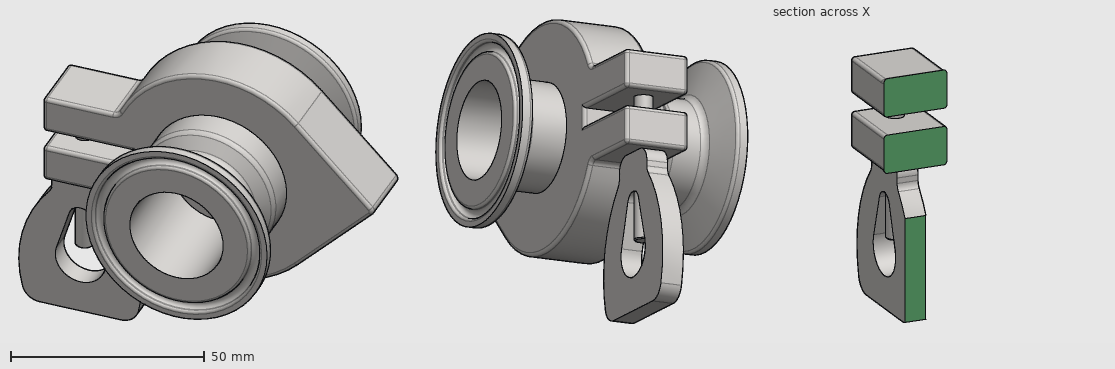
import cadquery as cq
import math

CLAMP_RADIUS = 30.9
CLAMP_THICKNESS = 18.0
TIP_ROUND = 1.5
EDGE_ROUND = 1.0

EAR_END_X = -49.0
EAR_HALF_HEIGHT = 12.6
EAR_NECK_ROUND = 2.0
SLOT_WIDTH = 4.9
SLOT_END_X = -24.4

FRONT_LENGTH = 38.0
BACK_LENGTH = 27.0
TUBE_RADIUS = 29.0 / 2
BORE_RADIUS = 26.0 / 2
FLANGE_RADIUS = 50.5 / 2
FLANGE_RIM_WIDTH = 2.9
FLANGE_SLOPE = 20.0
FLANGE_RIM_ROUND = 1.0
FLANGE_NECK_ROUND = 2.0

GROOVE_CENTRE_RADIUS = 21.8
GROOVE_RADIUS = 1.2
GROOVE_WALL_HEIGHT = 0.3
GROOVE_LIP_ROUND = 0.76

HOUSING_RADIUS = 38.0 / 2
HOUSING_SHOULDER_Y = -17.3
HOUSING_TAPER_ANGLE = 50.0
HOUSING_ROUND = 2.0

PIN_X = -41.0
PIN_DIAMETER = 5.0
PIN_BOTTOM_Z = -35.9
PIN_CHAMFER = 0.3

LEVER_THICKNESS = 6.0
LEVER_BOTTOM_Z = -55.0
LEVER_HALF_WIDTH = 17.2
LEVER_WIDEST_Z = -42.7
LEVER_SIDE_RADIUS = 34.4
LEVER_NECK_HALF_WIDTH = 8.0
LEVER_TOP_ROUND = 4.0
LEVER_BOTTOM_ROUND = 5.0
LEVER_NECK_ROUND = 3.0

OPENING_LOWER_RADIUS = 7.0
OPENING_LOWER_Z = -39.0
OPENING_UPPER_RADIUS = 3.2
OPENING_UPPER_Z = -26.3


def extrude_along_y(outline, thickness):
    """Extrude an XZ outline symmetrically about the plane y = 0."""
    return outline.extrude(thickness / 2, both=True)


def round_circles(body, y, radius, fillet):
    """Fillet the circular edge of the given radius, centred on the Y axis at y."""
    tolerance = 0.001
    edges = [
        edge
        for edge in body.edges("%CIRCLE").vals()
        if abs(edge.arcCenter().y - y) < tolerance and abs(edge.radius() - radius) < tolerance
    ]
    return body.newObject(edges).fillet(fillet)


def round_y_edges(body, points, fillet):
    """Fillet the Y-parallel edges that pass through the given (x, z) points."""
    for x, z in points:
        body = body.edges("|Y").edges(cq.selectors.NearestToPointSelector((x, 0, z))).fillet(fillet)
    return body


def make_clamp():
    tangent = CLAMP_RADIUS / math.sqrt(2)
    tip_x = CLAMP_RADIUS * math.sqrt(2)
    ear_root_x = -math.sqrt(CLAMP_RADIUS**2 - EAR_HALF_HEIGHT**2)
    slot_half = SLOT_WIDTH / 2

    outline = (
        cq.Workplane("XZ")
        .moveTo(tip_x, 0)
        .lineTo(tangent, tangent)
        .threePointArc((0, CLAMP_RADIUS), (ear_root_x, EAR_HALF_HEIGHT))
        .lineTo(EAR_END_X, EAR_HALF_HEIGHT)
        .lineTo(EAR_END_X, slot_half)
        .lineTo(SLOT_END_X, slot_half)
        .lineTo(SLOT_END_X, -slot_half)
        .lineTo(EAR_END_X, -slot_half)
        .lineTo(EAR_END_X, -EAR_HALF_HEIGHT)
        .lineTo(ear_root_x, -EAR_HALF_HEIGHT)
        .threePointArc((0, -CLAMP_RADIUS), (tangent, -tangent))
        .close()
    )
    clamp = extrude_along_y(outline, CLAMP_THICKNESS)

    ear_corners = [(EAR_END_X, z * side) for z in (slot_half, EAR_HALF_HEIGHT) for side in (1, -1)]
    ear_necks = [(ear_root_x, EAR_HALF_HEIGHT), (ear_root_x, -EAR_HALF_HEIGHT)]
    clamp = round_y_edges(clamp, [(tip_x, 0)], TIP_ROUND)
    clamp = round_y_edges(clamp, ear_necks, EAR_NECK_ROUND)
    clamp = round_y_edges(clamp, ear_corners, EDGE_ROUND)

    return clamp.faces("<Y or >Y").edges().fillet(EDGE_ROUND)


def make_groove(face_y):
    """Ring groove with a half-round floor, short straight walls and rounded lips."""
    wall_top_y = face_y + GROOVE_LIP_ROUND
    wall_bottom_y = wall_top_y + GROOVE_WALL_HEIGHT
    inner_wall = GROOVE_CENTRE_RADIUS - GROOVE_RADIUS
    outer_wall = GROOVE_CENTRE_RADIUS + GROOVE_RADIUS
    return (
        cq.Workplane("XY")
        .moveTo(inner_wall - GROOVE_LIP_ROUND, face_y)
        .radiusArc((inner_wall, wall_top_y), -GROOVE_LIP_ROUND)
        .lineTo(inner_wall, wall_bottom_y)
        .threePointArc((GROOVE_CENTRE_RADIUS, wall_bottom_y + GROOVE_RADIUS), (outer_wall, wall_bottom_y))
        .lineTo(outer_wall, wall_top_y)
        .radiusArc((outer_wall + GROOVE_LIP_ROUND, face_y), -GROOVE_LIP_ROUND)
        .close()
        .revolve(360, (0, 0, 0), (0, 1, 0))
    )


def make_ferrule(length):
    """Flanged tube from the clamp centre out to -Y, with a bore that stops at the clamp."""
    face_y = -length
    rim_y = face_y + FLANGE_RIM_WIDTH
    slope_length = (FLANGE_RADIUS - TUBE_RADIUS) * math.tan(math.radians(FLANGE_SLOPE))
    neck_y = rim_y + slope_length
    bore_depth = length - CLAMP_THICKNESS / 2

    ferrule = (
        cq.Workplane("XY")
        .moveTo(0, 0)
        .lineTo(TUBE_RADIUS, 0)
        .lineTo(TUBE_RADIUS, neck_y)
        .lineTo(FLANGE_RADIUS, rim_y)
        .lineTo(FLANGE_RADIUS, face_y)
        .lineTo(0, face_y)
        .close()
        .revolve(360, (0, 0, 0), (0, 1, 0))
    )
    ferrule = round_circles(ferrule, rim_y, FLANGE_RADIUS, FLANGE_RIM_ROUND)
    ferrule = round_circles(ferrule, neck_y, TUBE_RADIUS, FLANGE_NECK_ROUND)

    bore = (
        cq.Workplane("XZ", origin=(0, face_y, 0))
        .circle(BORE_RADIUS)
        .extrude(-bore_depth)
    )
    return ferrule.cut(make_groove(face_y)).cut(bore)


def add_housing(ferrule):
    """Add the wide, tapered housing around the inner end of the front ferrule."""
    taper_length = (HOUSING_RADIUS - TUBE_RADIUS) / math.tan(math.radians(HOUSING_TAPER_ANGLE))
    taper_end_y = HOUSING_SHOULDER_Y - taper_length
    housing = (
        cq.Workplane("XY")
        .moveTo(BORE_RADIUS, 0)
        .lineTo(HOUSING_RADIUS, 0)
        .lineTo(HOUSING_RADIUS, HOUSING_SHOULDER_Y)
        .lineTo(TUBE_RADIUS, taper_end_y)
        .lineTo(BORE_RADIUS, taper_end_y)
        .close()
        .revolve(360, (0, 0, 0), (0, 1, 0))
    )
    body = ferrule.union(housing)
    body = round_circles(body, HOUSING_SHOULDER_Y, HOUSING_RADIUS, HOUSING_ROUND)
    return round_circles(body, taper_end_y, TUBE_RADIUS, HOUSING_ROUND)


def make_pin():
    pin_top_z = EAR_HALF_HEIGHT / 2
    return (
        cq.Workplane("XY", origin=(PIN_X, 0, PIN_BOTTOM_Z))
        .circle(PIN_DIAMETER / 2)
        .extrude(pin_top_z - PIN_BOTTOM_Z)
        .faces("<Z")
        .chamfer(PIN_CHAMFER)
    )


def make_lever_opening():
    """Teardrop: a large and a small circle joined by their outer tangents."""
    centre_distance = OPENING_UPPER_Z - OPENING_LOWER_Z
    tangent_sine = (OPENING_LOWER_RADIUS - OPENING_UPPER_RADIUS) / centre_distance
    tangent_cosine = math.sqrt(1 - tangent_sine**2)
    lower_x = OPENING_LOWER_RADIUS * tangent_cosine
    lower_z = OPENING_LOWER_Z + OPENING_LOWER_RADIUS * tangent_sine
    upper_x = OPENING_UPPER_RADIUS * tangent_cosine
    upper_z = OPENING_UPPER_Z + OPENING_UPPER_RADIUS * tangent_sine
    outline = (
        cq.Workplane("XZ", origin=(PIN_X, 0, 0))
        .moveTo(lower_x, lower_z)
        .lineTo(upper_x, upper_z)
        .threePointArc((0, OPENING_UPPER_Z + OPENING_UPPER_RADIUS), (-upper_x, upper_z))
        .lineTo(-lower_x, lower_z)
        .threePointArc((0, OPENING_LOWER_Z - OPENING_LOWER_RADIUS), (lower_x, lower_z))
        .close()
    )
    return extrude_along_y(outline, LEVER_THICKNESS)


def make_lever():
    top_z = -EAR_HALF_HEIGHT
    side_centre_x = LEVER_HALF_WIDTH - LEVER_SIDE_RADIUS
    neck_rise = math.sqrt(LEVER_SIDE_RADIUS**2 - (LEVER_NECK_HALF_WIDTH - side_centre_x) ** 2)
    neck_z = LEVER_WIDEST_Z + neck_rise
    bottom_drop = LEVER_WIDEST_Z - LEVER_BOTTOM_Z
    bottom_half_width = side_centre_x + math.sqrt(LEVER_SIDE_RADIUS**2 - bottom_drop**2)

    outline = (
        cq.Workplane("XZ", origin=(PIN_X, 0, 0))
        .moveTo(-LEVER_NECK_HALF_WIDTH, top_z)
        .lineTo(LEVER_NECK_HALF_WIDTH, top_z)
        .lineTo(LEVER_NECK_HALF_WIDTH, neck_z)
        .threePointArc((LEVER_HALF_WIDTH, LEVER_WIDEST_Z), (bottom_half_width, LEVER_BOTTOM_Z))
        .lineTo(-bottom_half_width, LEVER_BOTTOM_Z)
        .threePointArc((-LEVER_HALF_WIDTH, LEVER_WIDEST_Z), (-LEVER_NECK_HALF_WIDTH, neck_z))
        .close()
    )
    lever = extrude_along_y(outline, LEVER_THICKNESS)

    for side in (-1, 1):
        neck_x = PIN_X + side * LEVER_NECK_HALF_WIDTH
        bottom_x = PIN_X + side * bottom_half_width
        lever = round_y_edges(lever, [(neck_x, neck_z)], LEVER_NECK_ROUND)
        lever = round_y_edges(lever, [(neck_x, top_z)], LEVER_TOP_ROUND)
        lever = round_y_edges(lever, [(bottom_x, LEVER_BOTTOM_Z)], LEVER_BOTTOM_ROUND)
    return lever.cut(make_lever_opening())


front_ferrule = add_housing(make_ferrule(FRONT_LENGTH))
back_ferrule = make_ferrule(BACK_LENGTH).mirror("XZ")
result = make_clamp().union(front_ferrule).union(back_ferrule).union(make_lever()).union(make_pin())